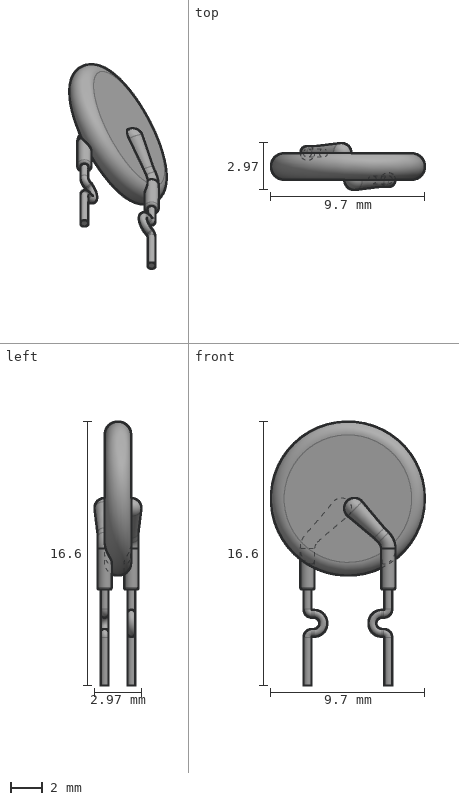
import cadquery as cq
import math


overall_depth = 2.97
overall_height = 16.6

disc_radius = 4.85
disc_thickness = 1.68

lead_pitch = 5.08
lead_radius = 0.51 / 2
lead_x = lead_pitch / 2
lead_y = -disc_thickness / 2
lead_bottom = disc_radius - overall_height

kink_top = -6.94
kink_corner_radius = 0.3
kink_straight = 0.1
kink_loop_radius = 0.6

sleeve_radius = 0.455
sleeve_top = -3.15
sleeve_bottom = -5.73
sleeve_edge_radius = 0.15

bend_radius = 1.0
bend_angle = 45
collar_length = 0.4
taper_length = 2.2
ball_radius = (overall_depth - disc_thickness) / 2

side_turns = (0, 180)


def make_disc():
    """Round disc with flat faces and a full round rim."""
    rim_radius = disc_thickness / 2
    face_radius = disc_radius - rim_radius
    return (
        cq.Workplane("XY")
        .moveTo(0, -rim_radius)
        .lineTo(face_radius, -rim_radius)
        .threePointArc((disc_radius, 0), (face_radius, rim_radius))
        .lineTo(0, rim_radius)
        .close()
        .revolve(360, (0, 0, 0), (0, 1, 0))
    )


def make_lead():
    """Round wire from the sleeve bottom to the lead tip, with an inward kink."""
    corner_x = lead_x - kink_corner_radius
    loop_x = corner_x - kink_straight
    upper_run_z = kink_top - kink_corner_radius
    lower_run_z = upper_run_z - 2 * kink_loop_radius
    kink_bottom = lower_run_z - kink_corner_radius
    path = (
        cq.Workplane("XZ", origin=(0, lead_y, 0))
        .moveTo(lead_x, sleeve_bottom)
        .lineTo(lead_x, kink_top)
        .tangentArcPoint((corner_x, upper_run_z), relative=False)
        .lineTo(loop_x, upper_run_z)
        .tangentArcPoint((loop_x, lower_run_z), relative=False)
        .lineTo(corner_x, lower_run_z)
        .tangentArcPoint((lead_x, kink_bottom), relative=False)
        .lineTo(lead_x, lead_bottom)
    )
    return (
        cq.Workplane("XY", origin=(lead_x, lead_y, sleeve_bottom))
        .circle(lead_radius)
        .sweep(path)
    )


def make_sleeve(disc):
    """Straight cylinder with a rounded bottom edge, trimmed where it meets the disc."""
    cylinder = (
        cq.Workplane("XY", origin=(lead_x, lead_y, sleeve_bottom))
        .circle(sleeve_radius)
        .extrude(sleeve_top - sleeve_bottom)
        .faces("<Z")
        .edges()
        .fillet(sleeve_edge_radius)
    )
    return cylinder.cut(disc)


def make_arm(disc):
    """Bend, collar, widening taper and ball end, trimmed flush with the disc surface."""
    bend = (
        cq.Workplane("XY", origin=(lead_x, lead_y, sleeve_top))
        .circle(sleeve_radius)
        .revolve(bend_angle, (-bend_radius, 0, 0), (-bend_radius, -1, 0))
    )

    angle = math.radians(bend_angle)
    arm_plane = cq.Plane(
        origin=(
            lead_x - bend_radius * (1 - math.cos(angle)),
            lead_y,
            sleeve_top + bend_radius * math.sin(angle),
        ),
        xDir=(math.cos(angle), 0, math.sin(angle)),
        normal=(0, -1, 0),
    )

    ball_center = collar_length + taper_length
    slope = math.asin((ball_radius - sleeve_radius) / taper_length)
    taper_end = (
        ball_radius * math.cos(slope),
        ball_center - ball_radius * math.sin(slope),
    )
    arm = (
        cq.Workplane(arm_plane)
        .lineTo(sleeve_radius, 0)
        .lineTo(sleeve_radius, collar_length)
        .lineTo(*taper_end)
        .threePointArc((ball_radius, ball_center), (0, ball_center + ball_radius))
        .close()
        .revolve(360, (0, 0, 0), (0, 1, 0))
    )
    return bend.union(arm).cut(disc)


def on_both_sides(body):
    """Separate copies of a body, one for each side of the disc."""
    return [body.rotate((0, 0, 0), (0, 0, 1), turn).solids().val() for turn in side_turns]


disc = make_disc()
leads = on_both_sides(make_lead())
sleeves = on_both_sides(make_sleeve(disc))
arms = on_both_sides(make_arm(disc))

result = cq.Compound.makeCompound([disc.val(), *leads, *sleeves, *arms])